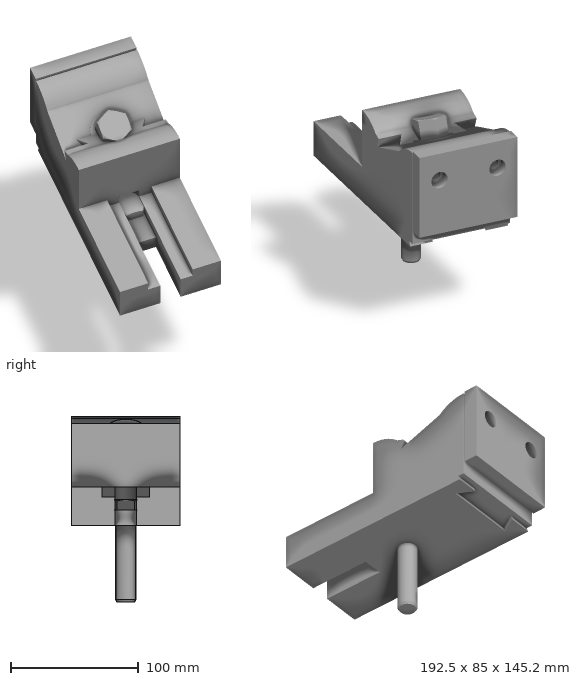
import cadquery as cq
import math

WIDTH = 85.0
WEDGE_ANGLE = 20.0
SIN_WEDGE = math.sin(math.radians(WEDGE_ANGLE))
COS_WEDGE = math.cos(math.radians(WEDGE_ANGLE))
TAN_WEDGE = math.tan(math.radians(WEDGE_ANGLE))

PLATE_THICKNESS = 12.0
PLATE_TOP = 85.3
PLATE_HEIGHT = 69.9
PLATE_HOLE_SPACING = 50.3
PLATE_HOLE_DROP = 23.1
PLATE_HOLE_DIAMETER = 9.0
PLATE_COUNTERBORE_DIAMETER = 14.0
PLATE_COUNTERBORE_DEPTH = 8.0

JAW_LENGTH = 30.2
JAW_HEIGHT = 79.9
JAW_EDGE_HEIGHT = 68.2
JAW_BEVEL_RUN = 6.0
TONGUE_ROOT_WIDTH = 45.6
TONGUE_DEPTH = 12.9
TONGUE_FLANK_ANGLE = 30.0
TONGUE_TIP_WIDTH = TONGUE_ROOT_WIDTH + 2 * TONGUE_DEPTH * math.tan(math.radians(TONGUE_FLANK_ANGLE))
FRONT_JAW_BACK = 13.0
FRONT_JAW_BOTTOM = 4.0
REAR_JAW_BACK = 104.4
REAR_JAW_BOTTOM = 0.2

BASE_END = 192.5
BASE_EDGE_Z = FRONT_JAW_BOTTOM + JAW_EDGE_HEIGHT
BASE_EDGE_X = FRONT_JAW_BACK + JAW_LENGTH
BASE_TOE_X = BASE_EDGE_X - BASE_EDGE_Z * TAN_WEDGE
CREST_END_X = 73.5
BEND_RADIUS = 15.5
BAR_HEIGHT = 30.2
FORK_SLOT_WIDTH = 17.1
FORK_STEP_WIDTH = 37.4
FORK_STEP_DEPTH = 7.9

KEY_LENGTH = 70.5
KEY_HEIGHT = 12.3
STUD_X = REAR_JAW_BACK
STUD_DIAMETER = 16.0
STUD_BOTTOM = -59.9
STUD_TIP_LENGTH = 2.0
STUD_TIP_INSET = 1.2
STUD_HEAD_HEIGHT = 8.0

HEX_FLATS = 24.0
HEX_CHAMFER_ANGLE = 30.0
BOLT_X = 67.2
BOLT_DIAMETER = 16.0
BOLT_HEAD_HEIGHT = 15.5
BOLT_SHANK_LENGTH = 50.0
WASHER_DIAMETER = 34.0
WASHER_THICKNESS = 1.0


def slope_z(x):
    """Height of the base's sloping top at a given x."""
    return BASE_EDGE_Z - (x - BASE_EDGE_X) * TAN_WEDGE


def block(x_start, x_end, width, z_start, z_end):
    """Box centred on the XZ plane."""
    return (
        cq.Workplane("XY")
        .box(x_end - x_start, width, z_end - z_start, centered=(False, True, False))
        .translate((x_start, 0, z_start))
    )


def dovetail(length):
    """Dovetail bar that ends at the front jaw's upper edge and runs down its wedge face."""
    plane = cq.Plane(
        origin=(BASE_EDGE_X, 0, BASE_EDGE_Z),
        xDir=(COS_WEDGE, 0, -SIN_WEDGE),
        normal=(-SIN_WEDGE, 0, -COS_WEDGE),
    )
    return (
        cq.Workplane(plane)
        .moveTo(0, -TONGUE_ROOT_WIDTH / 2)
        .lineTo(TONGUE_DEPTH, -TONGUE_TIP_WIDTH / 2)
        .lineTo(TONGUE_DEPTH, TONGUE_TIP_WIDTH / 2)
        .lineTo(0, TONGUE_ROOT_WIDTH / 2)
        .close()
        .extrude(length)
    )


def make_front_jaw():
    """Wedge jaw with a rounded crown, a bevel and a dovetail tongue on its wedge face."""
    top = FRONT_JAW_BOTTOM + JAW_HEIGHT
    bevel_x = BASE_EDGE_X - JAW_BEVEL_RUN
    bevel_z = slope_z(bevel_x)
    crown_run = bevel_x - FRONT_JAW_BACK
    crown_drop = top - bevel_z
    crown_radius = (crown_run**2 + crown_drop**2) / (2 * crown_drop)
    half_sweep = math.atan2(crown_drop, crown_run)
    crown_middle = (
        FRONT_JAW_BACK + crown_radius * math.sin(half_sweep),
        top - crown_radius * (1 - math.cos(half_sweep)),
    )
    body = (
        cq.Workplane("XZ")
        .moveTo(FRONT_JAW_BACK, FRONT_JAW_BOTTOM)
        .lineTo(BASE_EDGE_X - JAW_EDGE_HEIGHT * TAN_WEDGE, FRONT_JAW_BOTTOM)
        .lineTo(BASE_EDGE_X, BASE_EDGE_Z)
        .lineTo(bevel_x, bevel_z)
        .threePointArc(crown_middle, (FRONT_JAW_BACK, top))
        .close()
        .extrude(WIDTH / 2, both=True)
    )
    tongue = dovetail(BASE_EDGE_Z / COS_WEDGE)
    below_jaw = block(-BASE_END, BASE_END, WIDTH, -BASE_END, FRONT_JAW_BOTTOM)
    return body.union(tongue.cut(below_jaw))


def make_base_blank():
    """Wedge block whose top slopes down and flows through an S-bend into the bar."""
    crest_z = slope_z(CREST_END_X)
    upper_x = CREST_END_X - BEND_RADIUS * SIN_WEDGE
    upper_z = crest_z - BEND_RADIUS * COS_WEDGE
    lower_z = BAR_HEIGHT + BEND_RADIUS
    lower_x = upper_x + math.sqrt((2 * BEND_RADIUS) ** 2 - (upper_z - lower_z) ** 2)
    touch = ((upper_x + lower_x) / 2, (upper_z + lower_z) / 2)
    return (
        cq.Workplane("XZ")
        .moveTo(BASE_TOE_X, 0)
        .lineTo(BASE_EDGE_X, BASE_EDGE_Z)
        .lineTo(CREST_END_X, crest_z)
        .tangentArcPoint(touch, relative=False)
        .tangentArcPoint((lower_x, BAR_HEIGHT), relative=False)
        .lineTo(BASE_END, BAR_HEIGHT)
        .lineTo(BASE_END, 0)
        .close()
        .extrude(WIDTH / 2, both=True)
    )


def make_rear_jaw(front_jaw, base_blank):
    """Mirrored jaw that follows the base's bend at its sides and stands on the bar in the middle."""
    jaw = front_jaw.mirror("YZ").translate(
        (FRONT_JAW_BACK + REAR_JAW_BACK, 0, REAR_JAW_BOTTOM - FRONT_JAW_BOTTOM)
    )
    middle_seat = block(0, BASE_END, TONGUE_TIP_WIDTH, BAR_HEIGHT, BASE_EDGE_Z)
    return jaw.cut(base_blank.cut(middle_seat))


def make_plate():
    """Facing plate with two counterbored screw holes."""
    holes = [(side * PLATE_HOLE_SPACING / 2, PLATE_TOP - PLATE_HOLE_DROP) for side in (-1, 1)]
    through = cq.Workplane("YZ").pushPoints(holes).circle(PLATE_HOLE_DIAMETER / 2)
    counterbores = cq.Workplane("YZ").pushPoints(holes).circle(PLATE_COUNTERBORE_DIAMETER / 2)
    return (
        block(0, PLATE_THICKNESS, WIDTH, PLATE_TOP - PLATE_HEIGHT, PLATE_TOP)
        .cut(through.extrude(PLATE_THICKNESS))
        .cut(counterbores.extrude(PLATE_COUNTERBORE_DEPTH))
    )


def hex_head(height):
    """Hexagon along Z with its top corners chamfered down to the circle across flats."""
    corner_radius = HEX_FLATS / 2 / math.cos(math.pi / 6)
    corner_drop = (corner_radius - HEX_FLATS / 2) * math.tan(math.radians(HEX_CHAMFER_ANGLE))
    chamfered_envelope = (
        cq.Workplane("XZ")
        .moveTo(0, 0)
        .lineTo(corner_radius, 0)
        .lineTo(corner_radius, height - corner_drop)
        .lineTo(HEX_FLATS / 2, height)
        .lineTo(0, height)
        .close()
        .revolve(360, (0, 0), (0, 1))
    )
    return cq.Workplane("XY").polygon(6, 2 * corner_radius).extrude(height).intersect(chamfered_envelope)


def make_key():
    """Key block across the base, centred on the stud."""
    hole = cq.Workplane("XY").center(STUD_X, 0).circle(STUD_DIAMETER / 2).extrude(KEY_HEIGHT)
    return block(STUD_X - KEY_LENGTH / 2, STUD_X + KEY_LENGTH / 2, WIDTH, 0, KEY_HEIGHT).cut(hole)


def make_stud():
    """Stud whose hexagon head rests on the key block, two flats facing along X."""
    radius = STUD_DIAMETER / 2
    shank = (
        cq.Workplane("XZ")
        .moveTo(0, KEY_HEIGHT)
        .lineTo(radius, KEY_HEIGHT)
        .lineTo(radius, STUD_BOTTOM + STUD_TIP_LENGTH)
        .lineTo(radius - STUD_TIP_INSET, STUD_BOTTOM)
        .lineTo(0, STUD_BOTTOM)
        .close()
        .revolve(360, (0, 0), (0, 1))
    )
    head = hex_head(STUD_HEAD_HEIGHT).rotate((0, 0, 0), (0, 0, 1), 90).translate((0, 0, KEY_HEIGHT))
    return shank.union(head).translate((STUD_X, 0, 0))


def tilt_onto_slope(body):
    """Turn a body's Z axis square to the sloping top and move its origin to the bolt position."""
    return body.rotate((0, 0, 0), (0, 1, 0), WEDGE_ANGLE).translate((BOLT_X, 0, slope_z(BOLT_X)))


def make_washer():
    ring = cq.Workplane("XY").circle(WASHER_DIAMETER / 2).circle(BOLT_DIAMETER / 2)
    return tilt_onto_slope(ring.extrude(WASHER_THICKNESS))


def make_bolt():
    shank = (
        cq.Workplane("XY")
        .workplane(offset=-BOLT_SHANK_LENGTH)
        .circle(BOLT_DIAMETER / 2)
        .extrude(BOLT_SHANK_LENGTH + WASHER_THICKNESS)
    )
    head = hex_head(BOLT_HEAD_HEIGHT).translate((0, 0, WASHER_THICKNESS))
    return tilt_onto_slope(shank.union(head))


def cut_fork(base):
    """Through slot with a round end at the stud, and a wider step from the rear jaw to the bar's end."""
    round_end = cq.Workplane("XY").center(STUD_X, 0).circle(FORK_SLOT_WIDTH / 2).extrude(BAR_HEIGHT)
    slot = block(STUD_X, BASE_END, FORK_SLOT_WIDTH, 0, BAR_HEIGHT)
    step = block(REAR_JAW_BACK, BASE_END, FORK_STEP_WIDTH, BAR_HEIGHT - FORK_STEP_DEPTH, BAR_HEIGHT)
    return base.cut(slot.union(round_end)).cut(step)


plate = make_plate()
front_jaw = make_front_jaw()
base_blank = make_base_blank()
key = make_key()
stud = make_stud()
washer = make_washer()
bolt = make_bolt()
rear_jaw_blank = make_rear_jaw(front_jaw, base_blank)

front_slot = dovetail(2 * BASE_EDGE_Z)
base = cut_fork(base_blank.cut(front_slot).cut(rear_jaw_blank)).cut(key).cut(stud).cut(bolt)
rear_jaw = rear_jaw_blank.cut(washer).cut(bolt)

bodies = [plate, front_jaw, base, rear_jaw, key, stud, washer, bolt]
result = cq.Compound.makeCompound([body.solids().val() for body in bodies])